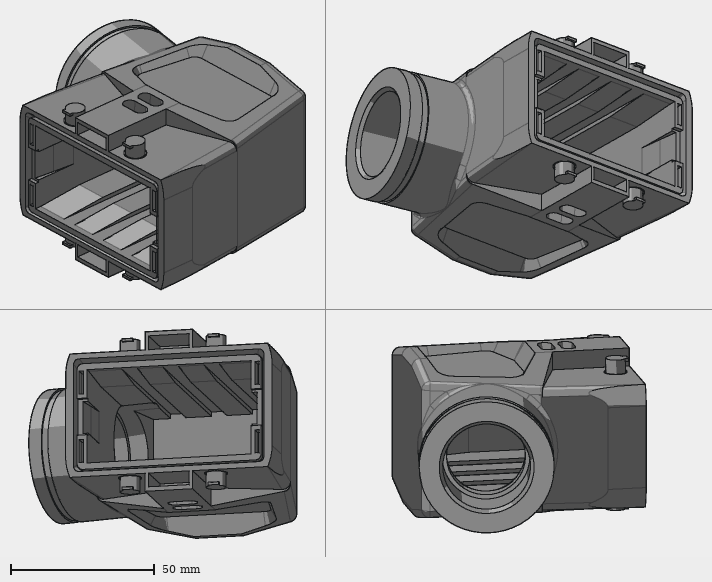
import cadquery as cq
import math

overall_x = 96.3
overall_y = 83.6

rim_half_x = 37.0
rim_corner_half_x = 35.5
rim_half_z = 22.1
rim_straight_half_z = 14.6
root_half_x = 38.3
shoulder_half_x = 34.7
shoulder_y = 36.9
end_half_x = 27.2
end_y = 77.4
ridge_half_x = 8.5
ridge_z = 28.5
roof_slope = 0.24
edge_radius = 2.9
roof_start_y = 27.4
roof_start_slope = 0.35
clearance = 57.8
overlap = 1.0
tolerance = 0.01

entry_tilt = math.radians(11)
entry_diameter = 47.0
entry_groove_diameter = 45.8
collar_length = 4.8
groove_length = 2.5
entry_length = 38.5
entry_blend_radius = 1.8
bore_diameter = 30.5
bore_mouth_diameter = 33.0
bore_lip_diameter = 27.5
bore_lip_start = 15.9
bore_lip_end = 21.2
entry_radius = entry_diameter / 2
entry_x = rim_half_x - overall_x + entry_radius * math.sin(entry_tilt)
entry_y = overall_y - entry_radius * math.cos(entry_tilt)
entry_center = cq.Vector(entry_x, entry_y, 0)
entry_axis = cq.Vector(math.cos(entry_tilt), -math.sin(entry_tilt), 0)

pocket_floor_z = 21.9
pocket_wall_angle = 30.0
pocket_corner_radius = 3.4
pocket_front_y = 37.5
pocket_back_y = 68.1
pocket_side_y = 43.0
pocket_side_half_x = 24.5
pocket_back_half_x = 20.2

tunnel_width = 14.6
tunnel_top_z = 27.0
tunnel_depth = 17.3
slot_length = 10.5
slot_width = 5.0
slot_depth = 4.8
slot_draft_angle = 5.0
slot_places_y = (20.5, 27.8)

pin_x = 15.4
pin_y = 6.4
pin_diameter = 6.9
pin_top_z = 27.0
pin_ring_diameter = 8.0
pin_ring_depth = 0.3
pin_lip_width = 3.9
pin_lip_reach = 4.2
pin_lip_thickness = 1.0

cavity_z = -0.5
cavity_half_x = 29.4
cavity_half_z = 16.7
cavity_taper_y = 49.3
cavity_back_half_x = 23.5
cavity_back_y = 74.2
gasket_half_x = 34.1
gasket_half_z = 20.1
gasket_corner_radius = 1.9
gasket_depth = 2.9
tongue_half_x = 32.95
tongue_half_z = 18.9
tongue_setback = 0.4
channel_pitch = 14.6
channel_width = 5.5
ramp_height = 1.5
ramp_start_y = 2.9
ramp_end_y = 21.2

notch_half_z = 5.7
notch_half_x = 31.4
notch_length = 18.3
notch_bend_half_x = 30.25
notch_bend_y = 9.6
notch_mouth_half_z = 6.55
notch_tongue_drop = 1.9
coding_slot_x = 31.5
coding_slot_z = 12.2
coding_slot_width = 1.5
coding_slot_height = 8.2
coding_slot_depth = 4.8


def mirrored_outline(half_points):
    """Close a +X half outline with its mirror image."""
    return half_points + [(-x, y) for x, y in reversed(half_points)]


def plan_prism(points, bottom_z, top_z):
    return cq.Workplane("XY").workplane(offset=bottom_z).polyline(points).close().extrude(top_z - bottom_z)


def block(center_x, center_z, size_x, size_z, start_y, end_y):
    center = (center_x, (start_y + end_y) / 2, center_z)
    return cq.Workplane("XY").box(size_x, end_y - start_y, size_z).translate(center)


def section_along_y(points, length):
    """Extrude an X-Z outline from the mating face toward +Y."""
    return cq.Workplane("XZ").polyline(points).close().extrude(-length)


def both_faces(feature):
    """A feature on the +Z face together with its mirror image on the -Z face."""
    return feature.union(feature.mirror("XY"))


def round_outer_edges(solid):
    """Round the end wall and the long side edges; leave the mating face, ridge and shoulder creases."""
    outer_edges = []
    for edge in solid.edges().vals():
        center = edge.Center()
        on_end = center.y > end_y - tolerance
        on_side = abs(center.x) > end_half_x and abs(center.z) > tolerance and center.y > tolerance
        if on_end or on_side:
            outer_edges.append(edge)
    return solid.newObject(outer_edges).fillet(edge_radius)


def make_shell():
    plan = mirrored_outline([(root_half_x, 0), (shoulder_half_x, shoulder_y), (end_half_x, end_y)])
    eave_z = ridge_z - roof_slope * (clearance - ridge_half_x)
    roof_half = [(ridge_half_x, ridge_z), (clearance, eave_z), (clearance, -eave_z), (ridge_half_x, -ridge_z)]
    roofed = plan_prism(plan, -clearance, clearance).intersect(
        section_along_y(mirrored_outline(roof_half), end_y)
    )
    roofed = round_outer_edges(roofed)
    roof_edge_y = roof_start_y + roof_start_slope * (clearance - ridge_half_x)
    roof_area = mirrored_outline(
        [
            (ridge_half_x, 0),
            (ridge_half_x, roof_start_y),
            (clearance, roof_edge_y),
            (clearance, end_y + overlap),
        ]
    )
    roofed = roofed.intersect(plan_prism(roof_area, -clearance, clearance))
    core = round_outer_edges(plan_prism(plan, -rim_half_z, rim_half_z))

    bulge_angle = math.atan2(rim_half_x - rim_corner_half_x, rim_half_z - rim_straight_half_z)
    bulge_radius = (rim_half_z - rim_straight_half_z) / math.sin(2 * bulge_angle)
    rim_envelope = (
        cq.Workplane("XZ")
        .moveTo(rim_half_x, -rim_straight_half_z)
        .lineTo(rim_half_x, rim_straight_half_z)
        .radiusArc((rim_corner_half_x, rim_half_z), -bulge_radius)
        .lineTo(rim_corner_half_x, clearance)
        .lineTo(-rim_corner_half_x, clearance)
        .lineTo(-rim_corner_half_x, rim_half_z)
        .radiusArc((-rim_half_x, rim_straight_half_z), -bulge_radius)
        .lineTo(-rim_half_x, -rim_straight_half_z)
        .radiusArc((-rim_corner_half_x, -rim_half_z), -bulge_radius)
        .lineTo(-rim_corner_half_x, -clearance)
        .lineTo(rim_corner_half_x, -clearance)
        .lineTo(rim_corner_half_x, -rim_half_z)
        .radiusArc((rim_half_x, -rim_straight_half_z), -bulge_radius)
        .close()
        .extrude(-end_y - overlap)
    )
    return core.union(roofed).intersect(rim_envelope)


def entry_cylinder(diameter, start, end):
    """A cylinder on the cable entry axis, measured inward from its outer face."""
    base = entry_center + entry_axis * start
    return cq.Workplane(obj=cq.Solid.makeCylinder(diameter / 2, end - start, base, entry_axis))


def make_entry():
    groove_end = collar_length + groove_length
    collar = entry_cylinder(entry_diameter, 0, collar_length)
    neck = entry_cylinder(entry_groove_diameter, 0, entry_length)
    barrel = entry_cylinder(entry_diameter, groove_end, entry_length)
    return neck.union(collar).union(barrel)


def blend_entry(solid):
    """Round the seam where the barrel runs into the hood's side wall."""
    seam = []
    seam_start = collar_length + groove_length + entry_blend_radius
    for edge in solid.edges().vals():
        offset = edge.positionAt(0.5) - entry_center
        along = offset.dot(entry_axis)
        across = offset - entry_axis * along
        on_barrel = abs(across.Length - entry_radius) < tolerance
        if on_barrel and along > seam_start and edge.geomType() != "LINE":
            seam.append(edge)
    return solid.newObject(seam).fillet(entry_blend_radius)


def make_bore():
    mouth_depth = (bore_mouth_diameter - bore_diameter) / 2
    mouth = cq.Solid.makeCone(
        bore_mouth_diameter / 2, bore_diameter / 2, mouth_depth, entry_center, entry_axis
    )
    outer = entry_cylinder(bore_diameter, 0, bore_lip_start)
    lip = entry_cylinder(bore_lip_diameter, 0, entry_length)
    inner = entry_cylinder(bore_diameter, bore_lip_end, entry_length)
    return outer.union(lip).union(inner).union(cq.Workplane(obj=mouth))


def make_roof_pocket():
    """A pocket with sloping walls, wider toward the roof."""
    outline = mirrored_outline(
        [
            (ridge_half_x, pocket_front_y),
            (pocket_side_half_x, pocket_side_y),
            (pocket_back_half_x, pocket_back_y),
        ]
    )
    depth = ridge_z - pocket_floor_z + overlap
    straight = plan_prism(outline, pocket_floor_z, ridge_z)
    corners = [edge for edge in straight.edges("|Z").vals() if abs(edge.Center().x) > ridge_half_x + overlap]
    floor = straight.newObject(corners).fillet(pocket_corner_radius).faces("<Z").wires().toPending()
    return floor.extrude(depth, taper=-pocket_wall_angle, combine=False)


def make_tunnel():
    height = tunnel_top_z - rim_half_z
    tunnel = block(0, rim_half_z + height / 2, tunnel_width, height, 0, tunnel_depth)
    slots = (
        cq.Workplane("XY")
        .workplane(offset=ridge_z)
        .pushPoints([(0, y) for y in slot_places_y])
        .slot2D(slot_length, slot_width)
        .extrude(-slot_depth, taper=slot_draft_angle)
    )
    return tunnel.union(slots)


def make_pins():
    places = [(-pin_x, pin_y), (pin_x, pin_y)]
    root_z = rim_half_z - overlap
    pins = (
        cq.Workplane("XY").workplane(offset=root_z).pushPoints(places).circle(pin_diameter / 2)
        .extrude(pin_top_z - root_z)
    )
    for x, y in places:
        lip_z = pin_top_z - pin_lip_thickness / 2
        pins = pins.union(block(x, lip_z, pin_lip_width, pin_lip_thickness, y - pin_lip_reach, y))
    return pins


def make_pin_rings():
    return (
        cq.Workplane("XY").workplane(offset=rim_half_z - pin_ring_depth)
        .pushPoints([(-pin_x, pin_y), (pin_x, pin_y)])
        .circle(pin_ring_diameter / 2)
        .extrude(pin_ring_depth)
    )


def make_cavity():
    plan = mirrored_outline(
        [(cavity_half_x, 0), (cavity_half_x, cavity_taper_y), (cavity_back_half_x, cavity_back_y)]
    )
    cavity = plan_prism(plan, -cavity_half_z, cavity_half_z)
    ramp = (
        cq.Workplane("YZ")
        .workplane(offset=-clearance)
        .moveTo(ramp_start_y, cavity_half_z)
        .lineTo(ramp_end_y, cavity_half_z - ramp_height)
        .lineTo(cavity_back_y, cavity_half_z - ramp_height)
        .lineTo(cavity_back_y, cavity_half_z)
        .close()
        .extrude(2 * clearance)
    )
    for index in (-1, 0, 1):
        channel_x = index * channel_pitch
        channel = block(channel_x, cavity_half_z, channel_width, 2 * ramp_height, 0, cavity_back_y)
        ramp = ramp.cut(channel)
    return cavity.cut(both_faces(ramp)).translate((0, 0, cavity_z))


def make_gasket_seat():
    """A groove whose outer wall slopes in until it meets the foot of the tongue."""

    def rounded_block(half_x, half_z, start_y, end_y):
        return block(0, 0, 2 * half_x, 2 * half_z, start_y, end_y).edges("|Y").fillet(gasket_corner_radius)

    tongue = rounded_block(tongue_half_x, tongue_half_z, tongue_setback, gasket_depth)
    tongue = tongue.translate((0, 0, cavity_z))
    mouth_wire = rounded_block(gasket_half_x, gasket_half_z, 0, gasket_depth).faces("<Y").wires().val()
    foot_wire = tongue.faces(">Y").wires().val()
    groove = cq.Workplane(obj=cq.Solid.makeLoft([mouth_wire, foot_wire], True))
    return groove.cut(tongue)


def make_side_cuts(side):
    """Notch and two coding slots in the cavity's side wall; side is -1 or +1."""
    notch = plan_prism(
        [
            (side * cavity_half_x, 0),
            (side * notch_half_x, 0),
            (side * notch_bend_half_x, notch_bend_y),
            (side * cavity_half_x, notch_length),
        ],
        -notch_half_z,
        notch_half_z,
    )
    gap_width = tongue_half_x - cavity_half_x
    gap_x = side * (tongue_half_x + cavity_half_x) / 2
    tongue_gap = block(gap_x, 0, gap_width, 2 * notch_mouth_half_z, 0, notch_tongue_drop)
    cuts = notch.union(tongue_gap)
    for end in (-1, 1):
        slot_x = side * coding_slot_x
        slot_z = end * coding_slot_z
        cuts = cuts.union(block(slot_x, slot_z, coding_slot_width, coding_slot_height, 0, coding_slot_depth))
    return cuts.translate((0, 0, cavity_z))


hood = blend_entry(make_shell().union(make_entry()))
for exterior_cut in (make_roof_pocket(), make_tunnel(), make_pin_rings()):
    hood = hood.cut(both_faces(exterior_cut))
hood = hood.union(both_faces(make_pins()))
for interior_cut in (make_cavity(), make_bore(), make_gasket_seat(), make_side_cuts(-1), make_side_cuts(1)):
    hood = hood.cut(interior_cut)
result = hood